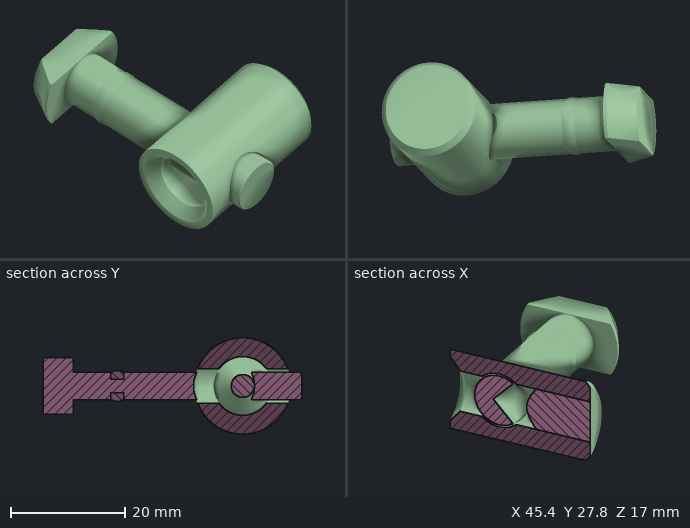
import cadquery as cq


bolt_length = 45.4
shank_diameter = 9.7
shank_radius = shank_diameter / 2
end_chamfer = 0.23
head_length = 5.35
head_rim_length = 0.6
head_face_diameter = 13.7
head_diameter = 19.25
head_flat_width = 10.0

ring_center_x = 13.05
ring_width = 2.22
ring_inner_diameter = 8.7
ring_outer_diameter = 10.1

sleeve_diameter = 17.0
sleeve_center_x = 35.0
sleeve_front_y = -9.7
sleeve_back_y = 18.05
sleeve_chamfer = 1.0
cross_hole_diameter = 10.3
bore_diameter = 10.2
countersink_diameter = 14.2
countersink_depth = (countersink_diameter - bore_diameter) / 2

dimple_diameter = 12.0
dimple_offset = 3.25
dimple_depth = dimple_diameter / 2
dimple_bottom_y = shank_radius - dimple_depth

screw_point_length = bore_diameter / 2
screw_tip_y = dimple_bottom_y + dimple_offset


def x_cylinder(diameter, start_x, length):
    return cq.Workplane("YZ", origin=(start_x, 0, 0)).circle(diameter / 2).extrude(length)


def y_cylinder(diameter, start_y, end_y):
    """Cylinder on the sleeve axis."""
    plane = cq.Workplane("XZ", origin=(sleeve_center_x, start_y, 0))
    return plane.circle(diameter / 2).extrude(start_y - end_y)


def make_head():
    """Tapered round head trimmed by two flats."""
    taper_length = head_length - head_rim_length
    cone = (
        cq.Workplane("XY")
        .moveTo(0, 0)
        .lineTo(0, head_face_diameter / 2)
        .lineTo(taper_length, head_diameter / 2)
        .lineTo(head_length, head_diameter / 2)
        .lineTo(head_length, 0)
        .close()
        .revolve(360, (0, 0, 0), (1, 0, 0))
    )
    flats = cq.Workplane("XY").box(2 * head_length, head_diameter, head_flat_width)
    return cone.intersect(flats)


def make_dimple():
    """Cone pointing toward -Y, its base level with the back of the shank."""
    cone = cq.Solid.makeCone(
        dimple_diameter / 2,
        0,
        dimple_depth,
        pnt=cq.Vector(sleeve_center_x - dimple_offset, shank_radius, 0),
        dir=cq.Vector(0, -1, 0),
    )
    return cq.Workplane(cone)


def make_bolt():
    shank = x_cylinder(shank_diameter, head_length, bolt_length - head_length)
    shank = shank.faces(">X").chamfer(end_chamfer)
    groove_start = ring_center_x - ring_width / 2
    groove = x_cylinder(shank_diameter, groove_start, ring_width)
    groove = groove.cut(x_cylinder(ring_inner_diameter, groove_start, ring_width))
    return shank.cut(groove).cut(make_dimple()).union(make_head())


def make_seal_ring():
    """Ring that fills the groove and bulges slightly above the shank."""
    start_x = ring_center_x - ring_width / 2
    end_x = ring_center_x + ring_width / 2
    return (
        cq.Workplane("XY")
        .moveTo(start_x, ring_inner_diameter / 2)
        .lineTo(start_x, shank_radius)
        .threePointArc((ring_center_x, ring_outer_diameter / 2), (end_x, shank_radius))
        .lineTo(end_x, ring_inner_diameter / 2)
        .close()
        .revolve(360, (0, 0, 0), (1, 0, 0))
    )


def make_sleeve():
    body = y_cylinder(sleeve_diameter, sleeve_front_y, sleeve_back_y)
    body = body.faces(">Y").chamfer(sleeve_chamfer)
    bore = y_cylinder(bore_diameter, sleeve_front_y, sleeve_back_y)
    bore_mouth = cq.Solid.makeCone(
        countersink_diameter / 2,
        bore_diameter / 2,
        countersink_depth,
        pnt=cq.Vector(sleeve_center_x, sleeve_front_y, 0),
        dir=cq.Vector(0, 1, 0),
    )
    cross_hole = x_cylinder(
        cross_hole_diameter, sleeve_center_x - sleeve_diameter / 2, sleeve_diameter
    )
    return body.cut(bore).cut(cq.Workplane(bore_mouth)).cut(cross_hole)


def make_clamp_screw():
    """Pointed screw that fills the bore behind the bolt, flush with the sleeve end."""
    point_base_y = screw_tip_y + screw_point_length
    point = cq.Solid.makeCone(
        0,
        bore_diameter / 2,
        screw_point_length,
        pnt=cq.Vector(sleeve_center_x, screw_tip_y, 0),
        dir=cq.Vector(0, 1, 0),
    )
    return y_cylinder(bore_diameter, point_base_y, sleeve_back_y).union(cq.Workplane(point))


bolt = make_bolt()
seal_ring = make_seal_ring()
sleeve = make_sleeve()
clamp_screw = make_clamp_screw()

result = cq.Compound.makeCompound(
    [
        *bolt.solids().vals(),
        *seal_ring.solids().vals(),
        *sleeve.solids().vals(),
        *clamp_screw.solids().vals(),
    ]
)